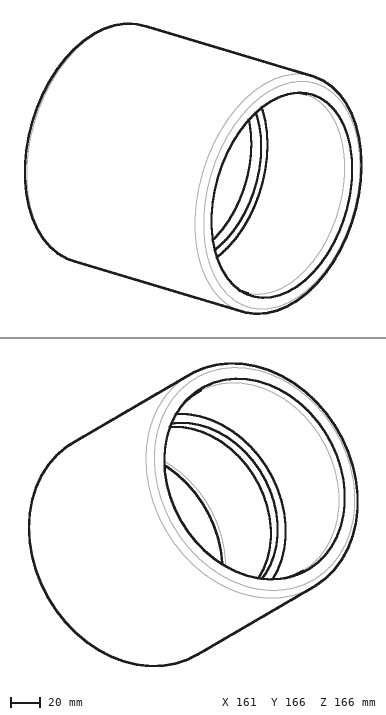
import cadquery as cq

length = 161.0
outer_diameter = 166.0
socket_diameter = 140.0
stop_diameter = 127.3
mouth_diameter = 142.0
mouth_depth = 6.0
stop_width = 9.0
edge_radius = 4.2

half_length = length / 2
socket_depth = (length - stop_width) / 2


def make_socket():
    """Socket with a tapered mouth, opening at X = -half_length."""
    mouth_end = -half_length + mouth_depth
    socket_end = -half_length + socket_depth
    return (
        cq.Workplane("XY")
        .moveTo(-half_length, 0)
        .lineTo(-half_length, mouth_diameter / 2)
        .lineTo(mouth_end, socket_diameter / 2)
        .lineTo(socket_end, socket_diameter / 2)
        .lineTo(socket_end, 0)
        .close()
        .revolve(360, (0, 0, 0), (1, 0, 0))
    )


body = (
    cq.Workplane("YZ")
    .workplane(offset=-half_length)
    .circle(outer_diameter / 2)
    .extrude(length)
    .edges()
    .fillet(edge_radius)
)

bore = (
    cq.Workplane("YZ")
    .workplane(offset=-half_length)
    .circle(stop_diameter / 2)
    .extrude(length)
)

socket = make_socket()
result = body.cut(bore).cut(socket).cut(socket.mirror("YZ"))